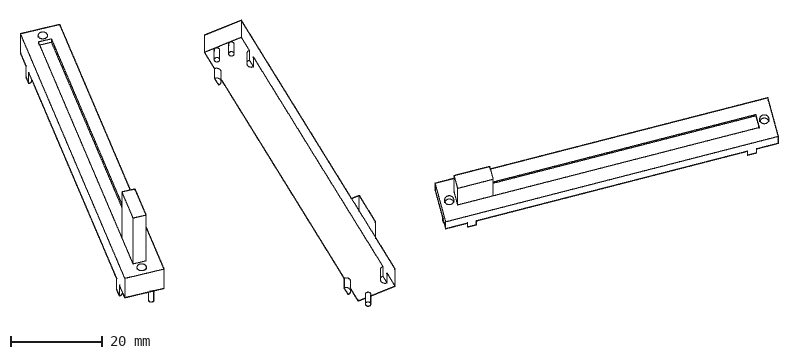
import cadquery as cq

body_length = 75.0
body_width = 9.0
body_height = 6.4

slot_length = 68.0
slot_width = 3.0
slot_depth = 1.1
lever_length = 8.0
lever_height = 15.0

hole_diameter = 2.0
hole_spacing = 71.0
hole_depth = 3.0

pin_length = 3.6
pin_diameter = 1.2
pin_row_spacing = 73.65
pin_pair_spacing = 3.5

lug_diameter = 2.0
lug_radius = lug_diameter / 2
front_lug_spacing = 65.1
back_lug_spacing = 63.15


def make_body():
    body = cq.Workplane("XY").box(body_length, body_width, body_height, centered=(True, True, False))
    top = body.faces(">Z").workplane()
    body = top.rect(slot_length, slot_width).cutBlind(-slot_depth)
    hole_centres = [(-hole_spacing / 2, 0), (hole_spacing / 2, 0)]
    holes = (
        cq.Workplane("XY", origin=(0, 0, body_height))
        .pushPoints(hole_centres)
        .circle(hole_diameter / 2)
        .extrude(-hole_depth)
    )
    return body.cut(holes)


def make_lever():
    centre_x = (slot_length - lever_length) / 2
    return (
        cq.Workplane("XY", origin=(centre_x, 0, body_height - slot_depth))
        .rect(lever_length, slot_width)
        .extrude(slot_depth + lever_height)
    )


def make_pins():
    end_x = pin_row_spacing / 2
    side_y = pin_pair_spacing / 2
    pin_centres = [(-end_x, -side_y), (-end_x, side_y), (end_x, side_y)]
    return cq.Workplane("XY").pushPoints(pin_centres).circle(pin_diameter / 2).extrude(-pin_length)


def make_lug(centre_x, side):
    """Half-round lug with its flat on the -Y (side = -1) or +Y (side = 1) face."""
    flat_y = side * body_width / 2
    return (
        cq.Workplane("XY")
        .moveTo(centre_x - lug_radius, flat_y)
        .threePointArc((centre_x, flat_y - side * lug_radius), (centre_x + lug_radius, flat_y))
        .close()
        .extrude(-pin_length)
    )


result = make_body().union(make_lever()).union(make_pins())
for side, spacing in ((-1, front_lug_spacing), (1, back_lug_spacing)):
    for end in (-1, 1):
        result = result.union(make_lug(end * spacing / 2, side))